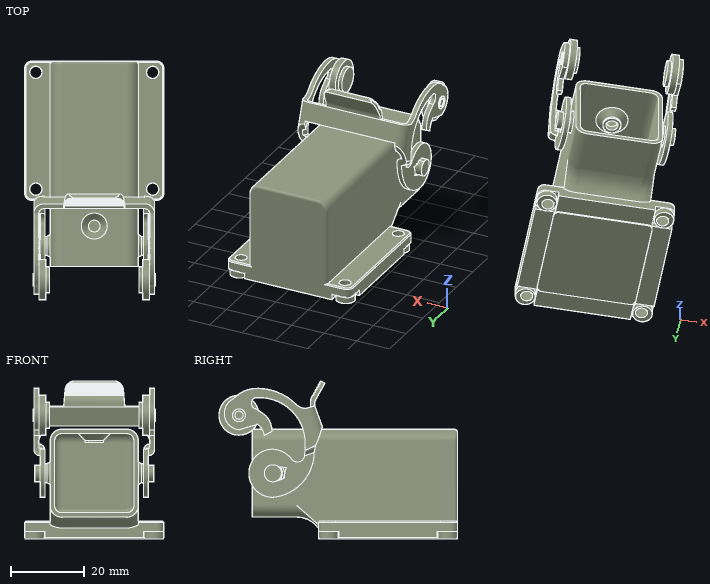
import cadquery as cq
import math

FLANGE_SIDE = 38.0
FLANGE_TOP = 4.9
FLANGE_CORNER = 1.9
FLANGE_BEVEL = 0.3
HOLE_DIAMETER = 3.25
HOLE_INSET = 3.05
FOOT_RADIUS = 2.7
FOOT_INSET = 2.75
FOOT_HEIGHT = 2.0
NOTCH_SIDE = 5.6
PAD_SIDE = 27.35
PAD_CORNER = 1.4
PAD_HEIGHT = 0.4

FLANGE_FRONT = -FLANGE_SIDE / 2
BACK_Y = FLANGE_SIDE / 2
MOUTH_Y = -37.05
HOOD_WIDTH = 24.1
HOOD_TOP = 30.0
HOOD_CORNER = 3.2
BACK_EDGE_RADIUS = 0.9
MOUTH_BOTTOM = 6.0
NECK_Y = -24.9
NECK_RADIUS = 7.35
NECK_AXIS_Z = MOUTH_BOTTOM - NECK_RADIUS
NECK_END_Z = 4.0
NECK_STATIONS = 5
SPLIT_Z = MOUTH_BOTTOM + 2 * HOOD_CORNER

WALL = 1.25
CAVITY_CORNER = 1.95
CEILING_BACK_RADIUS = 2.55
FLOOR_BACK_RADIUS = 0.9

FUNNEL_Y = -26.0
FUNNEL_TOP_RADIUS = 7.1 / 2
FUNNEL_HOLE_RADIUS = 3.2 / 2
FUNNEL_OUTER_RADIUS = 4.35
FUNNEL_TIP_RADIUS = 2.5
FUNNEL_TIP_LENGTH = 0.5
FUNNEL_HOLE_LENGTH = 2.6

PIVOT_Y = -31.4
PIVOT_Z = 18.0
PIVOT = (PIVOT_Y, PIVOT_Z)
BOSS_BASE_RADIUS = 3.1
BOSS_RADIUS = 2.6
BOSS_CONE_X = 12.9
PIN_RADIUS = 2.35
PIN_FLAT = 2.2
PIN_END_X = 16.3

SHEET = 1.4
LEG_OUTER_X = 16.5
LEG_INNER_X = LEG_OUTER_X - SHEET
HUB_OUTER_X = 14.8
HUB_INNER_X = HUB_OUTER_X - SHEET
HUB_RADIUS = 6.6
BEND_RADIUS = 2.75
TILT = math.radians(20)
BAR_TOP_Y = -19.9
BAR_TOP_Z = 36.35
BAR_HEIGHT = 5.35
SHEET_REACH = 32.55
JOGGLE_START = 10.15
JOGGLE_OVERLAP = 0.3
NECK_TOP_BACK = (-19.15, 26.9)
NECK_TOP_FRONT = (-22.6, 26.9)
LEG_END_BACK = (-19.75, 25.5)
LEG_END_FRONT = (-22.6, 24.2)
HUB_BACK = (-20.1, 23.7)
HUB_FRONT = (-22.7, 22.85)

ROLLER_Y = -40.65
ROLLER_Z = 33.8
EYE_RADIUS = 4.0
ROLLER_RADIUS = 5.5
ROLLER_INNER_X = 13.2
STUB_RADIUS = 3.6
STUB_INNER_X = 12.2
RIVET_RADIUS = 1.75
RIVET_DIMPLE_RADIUS = 1.1
RIVET_HEIGHT = 0.2
RIVET_DIMPLE = 0.1

TAB_FRONT_Y = -21.15
TAB_BASE_Z = BAR_TOP_Z - 0.45
TAB_BEND_Z = 38.15
TAB_BEND_RADIUS = 3.25
TAB_TOP_Z = 43.2
TAB_LEAN = math.radians(29)
TAB_BASE_HALF = 8.4
TAB_SIDE_HALF = 8.0
TAB_SIDE_Z = 40.45
TAB_TOP_HALF = 4.9
TAB_CORNER_X = 7.15
TAB_CORNER_Z = 42.4
GROOVE_COUNT = 5
GROOVE_PITCH = 0.85
GROOVE_DEPTH = 0.2
FIRST_GROOVE = 0.85


def box(x_range, y_range, z_range):
    """Axis-aligned box between pairs of limits."""
    size = [high - low for low, high in (x_range, y_range, z_range)]
    solid = cq.Workplane("XY").box(*size, centered=False)
    return solid.translate((x_range[0], y_range[0], z_range[0]))


def side_outline(start_x):
    """Workplane at X = start_x whose coordinates are Y and Z and that extrudes towards +X."""
    return cq.Workplane("YZ", origin=(start_x, 0, 0))


def x_cylinder(y, z, radius, x_low, x_high):
    return side_outline(x_low).center(y, z).circle(radius).extrude(x_high - x_low)


def flange():
    """Mounting plate with screw holes, corner feet and a raised pad underneath."""
    plate = (
        cq.Workplane("XY", origin=(0, 0, PAD_HEIGHT))
        .rect(FLANGE_SIDE, FLANGE_SIDE)
        .extrude(FLANGE_TOP - PAD_HEIGHT)
        .edges("|Z").fillet(FLANGE_CORNER)
        .faces(">Z").edges().chamfer(FLANGE_BEVEL)
    )
    pad = (
        cq.Workplane("XY")
        .rect(PAD_SIDE, PAD_SIDE)
        .extrude(FOOT_HEIGHT)
        .edges("|Z").fillet(PAD_CORNER)
    )
    notch_pitch = FLANGE_SIDE - NOTCH_SIDE
    notches = (
        cq.Workplane("XY")
        .rect(notch_pitch, notch_pitch, forConstruction=True)
        .vertices().rect(NOTCH_SIDE, NOTCH_SIDE)
        .extrude(FOOT_HEIGHT)
    )
    hole_pitch = FLANGE_SIDE - 2 * HOLE_INSET
    hole_centres = cq.Workplane("XY").rect(hole_pitch, hole_pitch, forConstruction=True).vertices()
    foot_pitch = FLANGE_SIDE - 2 * FOOT_INSET
    foot_centres = cq.Workplane("XY").rect(foot_pitch, foot_pitch, forConstruction=True).vertices()
    feet = foot_centres.circle(FOOT_RADIUS).extrude(FOOT_HEIGHT)
    holes = hole_centres.circle(HOLE_DIAMETER / 2).extrude(FLANGE_TOP)
    return plate.cut(notches).union(pad).union(feet).cut(holes)


def neck_section(y):
    """Lower hood section at y: the bottom sinks along an arc while its corners flatten out."""
    bottom = NECK_AXIS_Z + math.sqrt(NECK_RADIUS**2 - (y - NECK_Y) ** 2)
    progress = (y - NECK_Y) / (FLANGE_FRONT - NECK_Y)
    side_end = MOUTH_BOTTOM + HOOD_CORNER + progress * (NECK_END_Z - MOUTH_BOTTOM - HOOD_CORNER)
    half = HOOD_WIDTH / 2
    flat = half - HOOD_CORNER
    rise = side_end - bottom
    radius = (HOOD_CORNER**2 + rise**2) / (2 * rise)
    half_angle = math.atan(rise / HOOD_CORNER)
    mid_x = flat + radius * math.sin(half_angle)
    mid_z = bottom + radius * (1 - math.cos(half_angle))
    return (
        cq.Workplane("XZ", origin=(0, y, 0))
        .moveTo(-half, SPLIT_Z)
        .lineTo(-half, side_end)
        .threePointArc((-mid_x, mid_z), (-flat, bottom))
        .lineTo(flat, bottom)
        .threePointArc((mid_x, mid_z), (half, side_end))
        .lineTo(half, SPLIT_Z)
        .close()
        .wire().val()
    )


def hood_outside():
    """Solid hood: rear block on the flange, curved neck and overhanging mouth."""
    across = (-HOOD_WIDTH / 2, HOOD_WIDTH / 2)
    upper = box(across, (MOUTH_Y, BACK_Y), (SPLIT_Z, HOOD_TOP))
    rear = box(across, (FLANGE_FRONT, BACK_Y), (PAD_HEIGHT, SPLIT_Z))
    front = box(across, (MOUTH_Y, NECK_Y), (MOUTH_BOTTOM, SPLIT_Z))
    front = front.faces("<Z").edges("|Y").fillet(HOOD_CORNER)
    step = (FLANGE_FRONT - NECK_Y) / (NECK_STATIONS - 1)
    stations = [NECK_Y + i * step for i in range(NECK_STATIONS)]
    neck = cq.Workplane(cq.Solid.makeLoft([neck_section(y) for y in stations]))
    block = upper.union(rear).clean()
    block = block.faces(">Z").edges("|Y").fillet(HOOD_CORNER)
    block = block.faces(">Y").edges("not <Z").fillet(BACK_EDGE_RADIUS)
    return block.union(front).union(neck)


def cavity():
    """Blind pocket running in from the mouth, rounded at every inner edge."""
    half_width = HOOD_WIDTH / 2 - WALL
    across = (-half_width, half_width)
    return (
        box(across, (MOUTH_Y, BACK_Y - WALL), (MOUTH_BOTTOM + WALL, HOOD_TOP - WALL))
        .edges("|X and >Y and >Z").fillet(CEILING_BACK_RADIUS)
        .edges("|X and >Y and <Z").fillet(FLOOR_BACK_RADIUS)
        .edges("(|Z and >Y) or (|Y and (>Z or <Z))").fillet(CAVITY_CORNER)
    )


def funnel(top_radius, tip_radius, top_z, tip_length):
    """45 degree cone pointing down from top_z, ending in a short cylinder."""
    cone_bottom = top_z - (top_radius - tip_radius)
    profile = (
        cq.Workplane("XZ", origin=(0, FUNNEL_Y, 0))
        .polyline([
            (0, top_z),
            (top_radius, top_z),
            (tip_radius, cone_bottom),
            (tip_radius, cone_bottom - tip_length),
            (0, cone_bottom - tip_length),
        ])
        .close()
    )
    return profile.revolve(360, (0, 0, 0), (0, 1, 0))


def hood():
    wall_cone = funnel(FUNNEL_OUTER_RADIUS, FUNNEL_TIP_RADIUS, HOOD_TOP - WALL, FUNNEL_TIP_LENGTH)
    screw_cone = funnel(FUNNEL_TOP_RADIUS, FUNNEL_HOLE_RADIUS, HOOD_TOP, FUNNEL_HOLE_LENGTH)
    return hood_outside().union(flange()).cut(cavity()).union(wall_cone).cut(screw_cone)


def pivot_stud():
    """Stud with a conical root and a flat-topped pin that carries the lever hub."""
    wall_x = HOOD_WIDTH / 2 - WALL / 2
    face_x = HOOD_WIDTH / 2
    root = x_cylinder(PIVOT_Y, PIVOT_Z, BOSS_RADIUS, wall_x, HUB_INNER_X)
    cone = (
        side_outline(face_x).center(PIVOT_Y, PIVOT_Z).circle(BOSS_BASE_RADIUS)
        .workplane(offset=BOSS_CONE_X - face_x).circle(BOSS_RADIUS)
        .loft()
    )
    pin = x_cylinder(PIVOT_Y, PIVOT_Z, PIN_RADIUS, HUB_INNER_X, PIN_END_X)
    above_flat = box(
        (HUB_OUTER_X, PIN_END_X),
        (PIVOT_Y - PIN_RADIUS, PIVOT_Y + PIN_RADIUS),
        (PIVOT_Z + PIN_FLAT, PIVOT_Z + PIN_RADIUS),
    )
    return root.union(cone).union(pin.cut(above_flat))


def sheet_plane():
    """Plane square to the tilted bar: local Z runs up the bar and local -Y points forward."""
    return cq.Plane(
        origin=(0, BAR_TOP_Y, BAR_TOP_Z),
        xDir=(1, 0, 0),
        normal=(0, -math.sin(TILT), math.cos(TILT)),
    )


def bent_block(half, depth):
    """Round-cornered block of the given half width whose back lies at the given depth in the sheet."""
    radius = BEND_RADIUS - depth
    flat = LEG_OUTER_X - BEND_RADIUS
    bend_x = flat + radius * math.sqrt(0.5)
    bend_y = radius * math.sqrt(0.5) - BEND_RADIUS
    return (
        cq.Workplane(sheet_plane()).workplane(offset=-SHEET_REACH / 2)
        .moveTo(-half, -SHEET_REACH)
        .lineTo(-half, -BEND_RADIUS)
        .threePointArc((-bend_x, bend_y), (-flat, -depth))
        .lineTo(flat, -depth)
        .threePointArc((bend_x, bend_y), (half, -BEND_RADIUS))
        .lineTo(half, -SHEET_REACH)
        .close()
        .extrude(SHEET_REACH)
    )


def bar_and_legs():
    """U-bent sheet: a bar across the back and two hooked legs running forward."""
    sheet = bent_block(LEG_OUTER_X, 0).cut(bent_block(LEG_INNER_X, SHEET))
    below_bar = (
        cq.Workplane(sheet_plane()).workplane(offset=-BAR_HEIGHT)
        .rect(2 * (LEG_OUTER_X - BEND_RADIUS), 4 * SHEET)
        .extrude(-SHEET_REACH / 2)
    )
    return sheet.cut(below_bar).intersect(arm_outline())


def arm_outline():
    """Outline of bar end, hooked arm and neck, running across the full width."""
    return (
        side_outline(-LEG_OUTER_X)
        .moveTo(BAR_TOP_Y, BAR_TOP_Z)
        .lineTo(-22.4, 35.7)
        .threePointArc((-23.8, 35.95), (-25.0, 36.75))
        .threePointArc((-29.8, 40.0), (-35.3, 41.15))
        .threePointArc((-38.8, 40.6), (-42.1, 38.35))
        .threePointArc((ROLLER_Y - EYE_RADIUS, ROLLER_Z), (ROLLER_Y, ROLLER_Z - EYE_RADIUS))
        .lineTo(-35.55, 31.3)
        .threePointArc((-34.7, 30.5), (-33.75, 28.25))
        .lineTo(-31.65, 29.4)
        .threePointArc((-32.4, 32.45), (-34.05, 34.25))
        .lineTo(-35.8, 35.5)
        .threePointArc((-37.25, 37.25), (-36.3, 38.55))
        .lineTo(-34.5, 38.55)
        .threePointArc((-26.7, 35.35), NECK_TOP_FRONT)
        .lineTo(*LEG_END_FRONT)
        .lineTo(*LEG_END_BACK)
        .lineTo(*NECK_TOP_BACK)
        .lineTo(-17.85, 30.6)
        .close()
        .extrude(2 * LEG_OUTER_X)
    )


def joggle():
    """S-bend that steps the +X leg inward to the hub plate, trimmed to the neck outline."""
    outer_bend = LEG_OUTER_X - HUB_OUTER_X
    diagonal = outer_bend * math.sqrt(0.5)
    top = outer_bend - SHEET - JOGGLE_START
    bottom = -JOGGLE_START - outer_bend
    inner_bend_z = top - outer_bend
    profile_plane = cq.Plane(
        origin=(0, BAR_TOP_Y, BAR_TOP_Z),
        xDir=(1, 0, 0),
        normal=(0, -math.cos(TILT), -math.sin(TILT)),
    )
    s_bend = (
        cq.Workplane(profile_plane)
        .moveTo(LEG_OUTER_X, top)
        .lineTo(LEG_OUTER_X, -JOGGLE_START)
        .threePointArc((HUB_OUTER_X + diagonal, -JOGGLE_START - diagonal), (HUB_OUTER_X, bottom))
        .lineTo(HUB_OUTER_X, bottom - JOGGLE_OVERLAP)
        .lineTo(HUB_INNER_X, bottom - JOGGLE_OVERLAP)
        .lineTo(HUB_INNER_X, inner_bend_z)
        .threePointArc((LEG_INNER_X - diagonal, inner_bend_z + diagonal), (LEG_INNER_X, top))
        .close()
        .extrude(SHEET_REACH)
    )
    neck = (
        side_outline(HUB_INNER_X)
        .polyline([
            NECK_TOP_BACK,
            LEG_END_BACK,
            HUB_BACK,
            (-20.3, 22.15),
            HUB_FRONT,
            LEG_END_FRONT,
            NECK_TOP_FRONT,
        ])
        .close()
        .extrude(LEG_OUTER_X - HUB_INNER_X)
    )
    return s_bend.intersect(neck)


def hub_plate():
    """Round plate on the pivot with a small notch beside the pin."""
    plate = (
        side_outline(HUB_INNER_X)
        .moveTo(*HUB_BACK)
        .threePointArc((-22.55, 16.4), (PIVOT_Y, PIVOT_Z - HUB_RADIUS))
        .threePointArc((PIVOT_Y - HUB_RADIUS, PIVOT_Z), (PIVOT_Y, PIVOT_Z + HUB_RADIUS))
        .threePointArc((-28.7, 23.85), (-26.5, 22.15))
        .threePointArc((-24.75, 21.05), HUB_FRONT)
        .close()
        .extrude(SHEET)
    )
    notch = (
        side_outline(HUB_INNER_X)
        .polyline([PIVOT, (-29.5, 19.7), (-27.75, 19.55), (-28.15, 18.0), (-28.25, 16.7), (-29.7, 16.1)])
        .close()
        .extrude(SHEET)
    )
    return plate.cut(notch)


def roller():
    """Roller disc, inner stub and rivet head on the +X leg."""
    disc = x_cylinder(ROLLER_Y, ROLLER_Z, ROLLER_RADIUS, ROLLER_INNER_X, LEG_INNER_X)
    stub = x_cylinder(ROLLER_Y, ROLLER_Z, STUB_RADIUS, STUB_INNER_X, ROLLER_INNER_X)
    rivet_end = LEG_OUTER_X + RIVET_HEIGHT
    rivet = x_cylinder(ROLLER_Y, ROLLER_Z, RIVET_RADIUS, LEG_OUTER_X, rivet_end)
    dimple = x_cylinder(ROLLER_Y, ROLLER_Z, RIVET_DIMPLE_RADIUS, rivet_end - RIVET_DIMPLE, rivet_end)
    return disc.union(stub).union(rivet.cut(dimple))


def thumb_tab():
    """Leaning grip tab: side profile trimmed to a rounded front outline and grooved."""
    back_y = BAR_TOP_Y
    front_y = TAB_FRONT_Y
    rise = TAB_TOP_Z - TAB_BEND_Z
    tip_y = front_y + rise * math.tan(TAB_LEAN)
    lean_y = math.sin(TAB_LEAN)
    lean_z = math.cos(TAB_LEAN)
    tip_back = (tip_y + SHEET * lean_z, TAB_TOP_Z - SHEET * lean_y)
    back_bend_z = tip_back[1] - (tip_back[0] - back_y) / math.tan(TAB_LEAN)
    side = (
        side_outline(-TAB_BASE_HALF)
        .polyline([
            (front_y, TAB_BASE_Z),
            (front_y, TAB_BEND_Z),
            (tip_y, TAB_TOP_Z),
            tip_back,
            (back_y, back_bend_z),
            (back_y, TAB_BASE_Z),
        ])
        .close()
        .extrude(2 * TAB_BASE_HALF)
    )
    side = side.edges(cq.NearestToPointSelector((0, front_y, TAB_BEND_Z))).fillet(TAB_BEND_RADIUS)
    side = side.edges(cq.NearestToPointSelector((0, back_y, back_bend_z))).fillet(TAB_BEND_RADIUS - SHEET)
    face = (
        cq.Workplane("XZ")
        .moveTo(-TAB_BASE_HALF, TAB_BASE_Z)
        .lineTo(-TAB_SIDE_HALF, TAB_SIDE_Z)
        .threePointArc((-TAB_CORNER_X, TAB_CORNER_Z), (-TAB_TOP_HALF, TAB_TOP_Z))
        .lineTo(TAB_TOP_HALF, TAB_TOP_Z)
        .threePointArc((TAB_CORNER_X, TAB_CORNER_Z), (TAB_SIDE_HALF, TAB_SIDE_Z))
        .lineTo(TAB_BASE_HALF, TAB_BASE_Z)
        .close()
        .extrude(SHEET_REACH)
    )
    tab = side.intersect(face)
    for i in range(GROOVE_COUNT):
        along = FIRST_GROOVE + i * GROOVE_PITCH
        groove = (
            cq.Workplane("XY")
            .box(2 * TAB_BASE_HALF, 2 * GROOVE_DEPTH, GROOVE_PITCH / 2)
            .rotate((0, 0, 0), (1, 0, 0), -math.degrees(TAB_LEAN))
            .translate((0, tip_y - along * lean_y, TAB_TOP_Z - along * lean_z))
        )
        tab = tab.cut(groove)
    return tab


one_side = joggle().union(hub_plate()).union(roller()).union(pivot_stud())
result = hood().union(bar_and_legs()).union(thumb_tab())
result = result.union(one_side).union(one_side.mirror("YZ"))